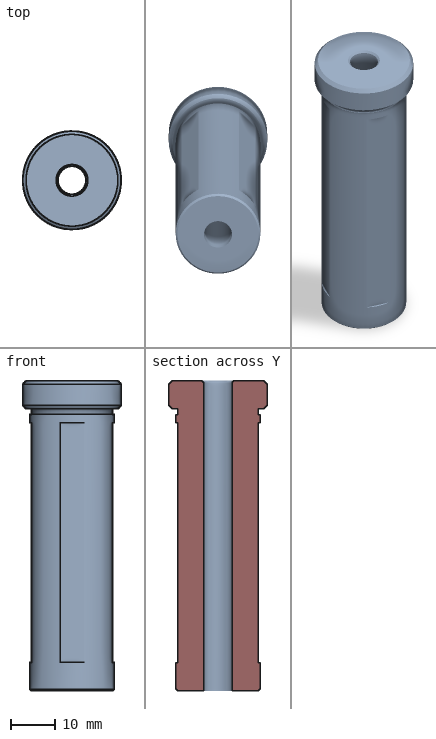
import cadquery as cq

total_length = 69.85
head_diameter = 22.2
head_height = 6.35
head_chamfer = 0.8

shank_diameter = 19.1
shank_chamfer = 0.4
neck_diameter = 18.3
neck_height = 1.25

flat_distance = 9.15
flat_bottom = 6.4
flat_top = 60.35

bore_diameter = 6.3
bore_chamfer = 0.4

head_bottom = total_length - head_height
neck_bottom = head_bottom - neck_height


def cylinder(diameter, bottom, top):
    """Upright cylinder on the Z axis between two heights."""
    return cq.Workplane("XY").workplane(offset=bottom).circle(diameter / 2).extrude(top - bottom)


def flat_cutter(angle):
    """Block that removes the shank material outside one flat."""
    cut_depth = shank_diameter / 2
    block = cq.Workplane("XY").box(
        cut_depth, shank_diameter, flat_top - flat_bottom, centered=(False, True, False)
    )
    return block.translate((flat_distance, 0, flat_bottom)).rotate((0, 0, 0), (0, 0, 1), angle)


shank = cylinder(shank_diameter, 0, neck_bottom).faces("<Z").chamfer(shank_chamfer)
neck = cylinder(neck_diameter, neck_bottom, head_bottom)
head = cylinder(head_diameter, head_bottom, total_length).edges("%CIRCLE").chamfer(head_chamfer)

for angle in (0, 90, 180, 270):
    shank = shank.cut(flat_cutter(angle))

body = shank.union(neck).union(head)

result = body.faces(">Z").workplane().cskHole(bore_diameter, bore_diameter + 2 * bore_chamfer, 90)